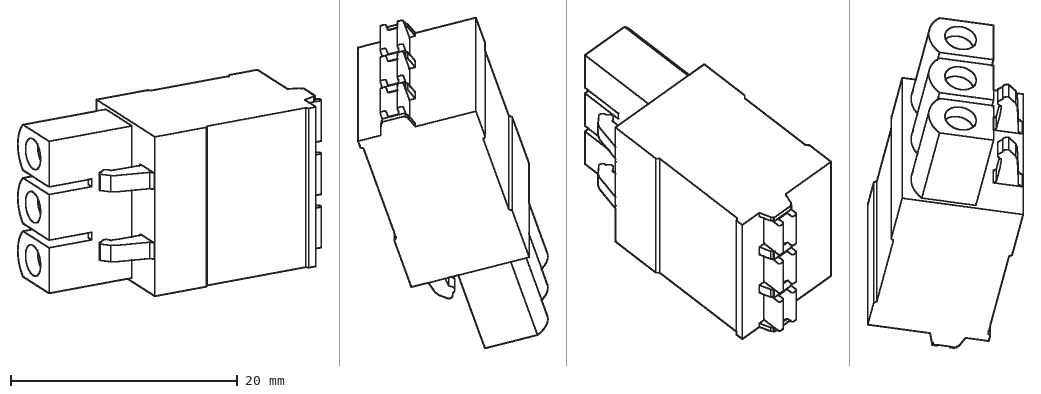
import cadquery as cq


body_width = 10.9
body_length = 16.16
body_height = 15.0
waist_depth = 0.25
waist_slope = 0.2
front_rim = 5.17
left_rear_rim = 2.8
right_rear_rim = 0.75
right_rear_slope = 0.13

pole_count = 3
pitch = 5.0
tower_length = 8.32
tower_height = 4.3
tower_right = 6.62
tower_radius = 2.85
hole_x = 3.65
hole_radius = 1.4
hole_depth = 1.22

rib_left = 1.9
rib_thickness = 0.64
rib_length = 4.05

latch_height = 1.55
latch_offset = 3.29
latch_left = 8.43
latch_right = 10.41
latch_root_length = 0.25
left_root_flare = 0.25
right_root_flare = 0.37
neck_start = 2.01
neck_lean = 0.08
nose_start = 3.02
nose_round_start = (8.05, -3.2)
nose_tip = (7.92, -3.47)
nose_round_end = (8.03, -3.7)
end_round_start = (8.27, -3.95)
end_round_middle = (8.45, -4.27)
end_round_end = (8.77, -4.32)
back_bevel_start = (9.5, -3.68)
back_bevel_end = (9.73, -3.25)

fork_left = 6.12
fork_right = 8.27
fork_height = 3.82
fork_length = 2.01
prong_width = 0.55
prong_round = 0.15
fork_clearance = 0.093
key_length = 1.32
key_flare = 0.53
key_shoulder = 0.15
key_tip_flat = 0.1
key_shoulder_drop = 0.25

pole_heights = [(i - (pole_count - 1) / 2) * pitch for i in range(pole_count)]
gap_heights = [(low + high) / 2 for low, high in zip(pole_heights, pole_heights[1:])]


def plan_prism(outline, height, z_centre):
    """Extrude a closed XY outline to a given height, centred on z_centre."""
    return outline.extrude(height / 2, both=True).translate((0, 0, z_centre))


def block(x_range, y_range, height, z_centre):
    """Box given by its X and Y limits, its height and its middle height."""
    width = x_range[1] - x_range[0]
    length = y_range[1] - y_range[0]
    box = cq.Workplane("XY").box(width, length, height, centered=(False, False, True))
    return box.translate((x_range[0], y_range[0], z_centre))


def make_housing():
    waist_right = body_width - waist_depth
    right_rear_edge = body_length - right_rear_rim
    left_rear_edge = body_length - left_rear_rim
    outline = cq.Workplane("XY").polyline([
        (0, 0),
        (body_width, 0),
        (body_width, front_rim),
        (waist_right, front_rim + waist_slope),
        (waist_right, right_rear_edge - right_rear_slope),
        (body_width, right_rear_edge),
        (body_width, body_length),
        (0, body_length),
        (0, left_rear_edge),
        (waist_depth, left_rear_edge - waist_slope),
        (waist_depth, front_rim + waist_slope),
        (0, front_rim),
    ]).close()
    return plan_prism(outline, body_height, 0)


def make_tower(z_centre):
    """D-shaped tower; its rounded left side is concentric with the wire hole."""
    half_height = tower_height / 2
    arc_start = hole_x - (tower_radius**2 - half_height**2) ** 0.5
    front = cq.Workplane("XZ", origin=(0, 0, z_centre))
    tower = (
        front.moveTo(tower_right, -half_height)
        .lineTo(tower_right, half_height)
        .lineTo(arc_start, half_height)
        .threePointArc((hole_x - tower_radius, 0), (arc_start, -half_height))
        .close()
        .extrude(tower_length)
    )
    hole = (
        front.workplane(offset=tower_length - hole_depth)
        .center(hole_x, 0)
        .circle(hole_radius)
        .extrude(hole_depth)
    )
    return tower.cut(hole)


def make_ribs(z_centre):
    """Two thin ribs filling the gap between neighbouring towers."""
    gap = pitch - tower_height
    left = block((rib_left, rib_left + rib_thickness), (-rib_length, 0), gap, z_centre)
    right = block((tower_right - rib_thickness, tower_right), (-rib_length, 0), gap, z_centre)
    return left.union(right)


def make_latch(z_centre):
    """Tapered finger with a flared root and a rounded hook nose at its tip."""
    outline = (
        cq.Workplane("XY")
        .moveTo(latch_left - left_root_flare, 0)
        .lineTo(latch_left, -latch_root_length)
        .lineTo(latch_left, -neck_start)
        .lineTo(latch_left - neck_lean, -nose_start)
        .lineTo(*nose_round_start)
        .threePointArc(nose_tip, nose_round_end)
        .lineTo(*end_round_start)
        .threePointArc(end_round_middle, end_round_end)
        .lineTo(*back_bevel_start)
        .lineTo(*back_bevel_end)
        .lineTo(latch_right, -latch_root_length)
        .lineTo(latch_right + right_root_flare, 0)
        .close()
    )
    return plan_prism(outline, latch_height, z_centre)


def make_key_bar():
    """Tapered key bar over the full height of the rear face."""
    tip = body_length + key_length
    shoulder = tip - key_shoulder_drop
    outline = cq.Workplane("XY").polyline([
        (fork_left - key_flare, body_length),
        (fork_right + key_flare, body_length),
        (fork_right + key_shoulder, shoulder),
        (fork_right, tip - key_tip_flat),
        (fork_right, tip),
        (fork_left, tip),
        (fork_left, tip - key_tip_flat),
        (fork_left - key_shoulder, shoulder),
    ]).close()
    return plan_prism(outline, body_height, 0)


def make_fork_pocket(z_centre):
    """Clearance that splits the key bar into walls, one for each fork."""
    x_range = (fork_left - key_flare, fork_right + key_flare)
    y_range = (body_length, body_length + key_length)
    return block(x_range, y_range, fork_height + 2 * fork_clearance, z_centre)


def make_fork(z_centre):
    """Contact fork: a base flush with the key walls and two prongs with rounded tips."""
    y_range = (body_length, body_length + fork_length)
    fork = block((fork_left, fork_right), y_range, fork_height, z_centre)
    slot_x = (fork_left + prong_width, fork_right - prong_width)
    slot_y = (body_length + key_length, body_length + fork_length)
    slot = block(slot_x, slot_y, fork_height, z_centre).edges("|Z and <Y").fillet(prong_round)
    return fork.cut(slot).edges("|Z and >Y").fillet(prong_round)


result = make_housing()

key_walls = make_key_bar()
for z in pole_heights:
    key_walls = key_walls.cut(make_fork_pocket(z))
result = result.union(key_walls)

for z in pole_heights:
    result = result.union(make_tower(z)).union(make_fork(z))

for z in gap_heights:
    result = result.union(make_ribs(z))

for z in (-latch_offset, latch_offset):
    result = result.union(make_latch(z))